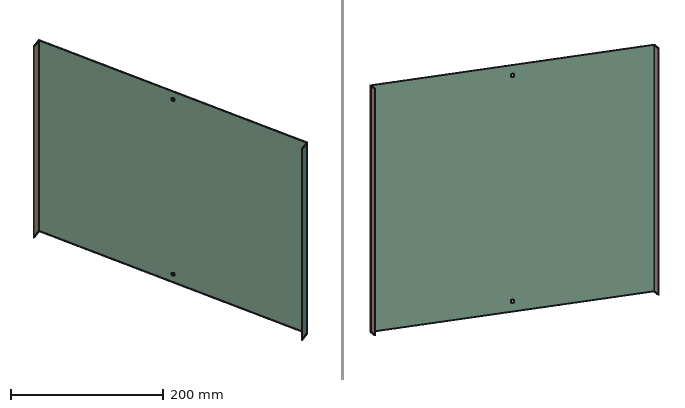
import cadquery as cq

width = 403.0
depth = 14.5
height = 345.0
thickness = 0.6

hole_diameter = 5.0
hole_inset = 14.5


def folded_panel():
    """Channel: a flat web at the back (+Y) with a sharp-cornered flange along each side."""
    block = cq.Workplane("XY").box(width, depth, height)
    inner_width = width - 2 * thickness
    cavity = cq.Workplane("XY").box(inner_width, depth, height).translate((0, -thickness, 0))
    return block.cut(cavity)


def fixing_holes():
    """Cylinders passing right through the web."""
    hole_height = height / 2 - hole_inset
    return (
        cq.Workplane("XZ")
        .pushPoints([(0, hole_height), (0, -hole_height)])
        .circle(hole_diameter / 2)
        .extrude(depth, both=True)
    )


result = folded_panel().cut(fixing_holes())